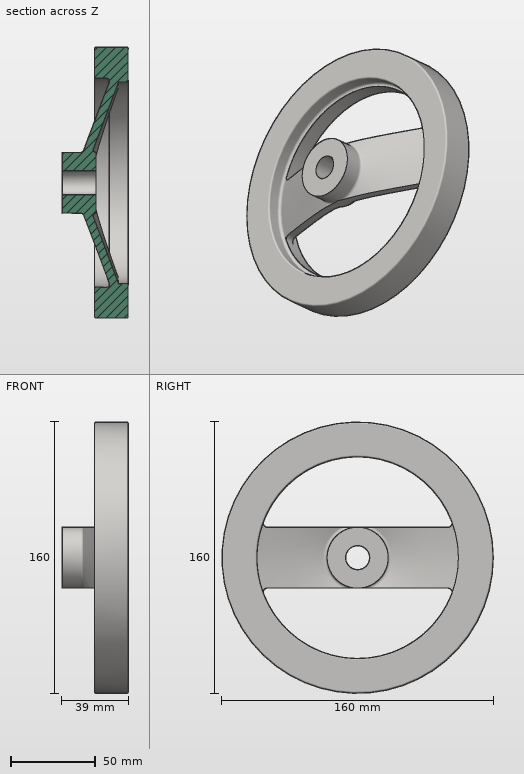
import cadquery as cq

overall_length = 39.0
rim_width = 20.0
rim_outer_radius = 80.0
rim_inner_radius = 61.5
rim_back_inner_radius = 59.4
rim_round = 1.0
rim_front = overall_length - rim_width

hub_radius = 18.0
hub_length = 20.0
bore_radius = 7.0

web_root_radius = hub_radius
web_front_at_hub = 12.1
web_front_at_rim = 28.5
web_thickness_at_hub = 5.6
web_thickness_at_rim = 4.8
web_root_fillet = 1.5
web_rim_fillet = 1.5

bar_half_width = hub_radius
window_radius = rim_back_inner_radius
window_corner_radius = 2.4


def turned_body():
    """Revolve the half section of hub, web and rim about the X axis."""
    web_back_at_hub = web_front_at_hub + web_thickness_at_hub
    web_back_at_rim = web_front_at_rim + web_thickness_at_rim
    section = (
        cq.Workplane("XY")
        .moveTo(0, bore_radius)
        .lineTo(0, hub_radius)
        .lineTo(web_front_at_hub, web_root_radius)
        .lineTo(web_front_at_rim, rim_inner_radius)
        .lineTo(rim_front, rim_inner_radius)
        .lineTo(rim_front, rim_outer_radius)
        .lineTo(overall_length, rim_outer_radius)
        .lineTo(overall_length, rim_back_inner_radius)
        .lineTo(web_back_at_rim, rim_back_inner_radius)
        .lineTo(web_back_at_hub, web_root_radius)
        .lineTo(hub_length, hub_radius)
        .lineTo(hub_length, bore_radius)
        .close()
    )
    return section.revolve(360, (0, 0, 0), (1, 0, 0))


def circles_at(body, places):
    """Select the circular edges of a body lying at the given (x, radius) places."""
    tolerance = 0.01

    def matches(edge):
        x = edge.Center().x
        return edge.geomType() == "CIRCLE" and any(
            abs(x - place_x) < tolerance and abs(edge.radius() - radius) < tolerance
            for place_x, radius in places
        )

    return body.newObject([edge for edge in body.edges().vals() if matches(edge)])


def round_body(body):
    """Round the rim corners and fillet the web into the hub and the rim."""
    rim_corners = [
        (rim_front, rim_outer_radius),
        (rim_front, rim_inner_radius),
        (overall_length, rim_outer_radius),
        (overall_length, rim_back_inner_radius),
    ]
    web_hub_corners = [
        (web_front_at_hub, hub_radius),
        (web_front_at_hub + web_thickness_at_hub, hub_radius),
    ]
    web_rim_corners = [(web_front_at_rim, rim_inner_radius)]
    body = circles_at(body, rim_corners).fillet(rim_round)
    body = circles_at(body, web_hub_corners).fillet(web_root_fillet)
    return circles_at(body, web_rim_corners).fillet(web_rim_fillet)


def window(side):
    """Make the cutter for the window on the +Z (side = 1) or -Z (side = -1) half."""
    opening_height = 2 * rim_outer_radius
    disc = cq.Workplane("YZ").circle(window_radius).extrude(overall_length)
    half_space = (
        cq.Workplane("YZ")
        .center(0, side * (bar_half_width + opening_height / 2))
        .rect(2 * rim_outer_radius, opening_height)
        .extrude(overall_length)
    )
    return disc.intersect(half_space).edges("|X").fillet(window_corner_radius)


result = round_body(turned_body())
for window_side in (1, -1):
    result = result.cut(window(window_side))